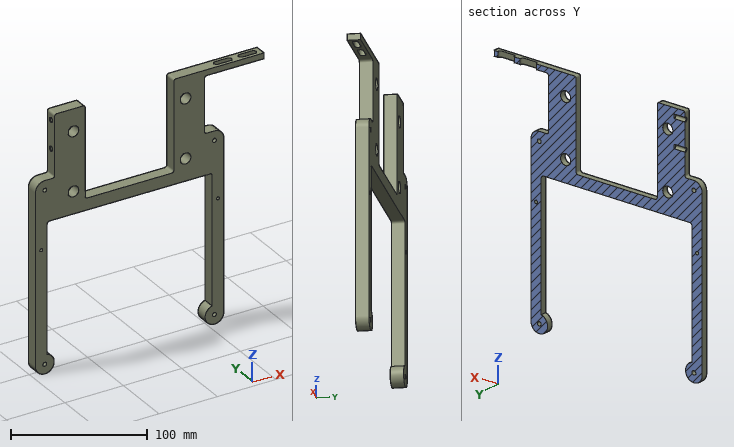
import cadquery as cq

height = 214.0
thickness = 10.0
frame_width = 161.0
total_length = 195.5
corner_radius = 2.0
shoulder_fillet_radius = 1.5

leg_width = 10.0
pad_diameter = 16.0
pad_radius = pad_diameter / 2
crossbar_top = height - 77.6
crossbar_bottom = crossbar_top - 10.0
shoulder_top = height - 52.8

tower_width = 26.3
left_tower_x = 16.3
right_tower_x = 118.3
arm_thickness = 5.0

tower_hole_diameter = 9.0
tower_hole_xs = (32.5, 128.3)
tower_hole_top = height - 18.8
tower_hole_pitch = 50.0
pivot_hole_diameter = 3.2
leg_hole_diameter = 2.4
leg_hole_inset = leg_width / 2
leg_hole_z = height - 110.0

side_hole_diameter = 3.2
side_hole_chamfer = 0.5
side_hole_depth = 10.0
side_hole_zs = (height - 7.0, height - 31.0)

slot_length = 15.0
slot_width = 4.5
slot_centers = (163.2, 184.2)


def block(x_min, x_max, z_min, z_max):
    """Full-thickness block, centered on Y = 0."""
    return cq.Workplane("XY", origin=(x_min, 0, z_min)).box(
        x_max - x_min, thickness, z_max - z_min, centered=(False, True, False)
    )


def cylinders_along_y(points, diameter):
    """Cylinders spanning the plate thickness at the given X, Z points."""
    return (
        cq.Workplane("XZ", origin=(0, thickness / 2, 0))
        .pushPoints(points)
        .circle(diameter / 2)
        .extrude(thickness)
    )


def round_corners(body, points, radius):
    """Round the edges along Y that pass through the given X, Z points."""
    for x, z in points:
        edge = cq.selectors.NearestToPointSelector((x, 0, z))
        body = body.edges("|Y").edges(edge).fillet(radius)
    return body


leg_inner_xs = (leg_width, frame_width - leg_width)
notch_xs = (left_tower_x + tower_width, right_tower_x)
right_tower_end = right_tower_x + tower_width
body = block(0, frame_width, pad_radius, shoulder_top)
body = body.cut(block(*leg_inner_xs, 0, crossbar_bottom))

body = body.union(block(left_tower_x, notch_xs[0], crossbar_bottom, height))
body = body.union(block(right_tower_x, right_tower_end, crossbar_bottom, height))
body = body.union(block(right_tower_x, total_length, height - arm_thickness, height))
body = body.cut(block(*notch_xs, crossbar_top, height))

shoulder_corners = [(0, shoulder_top), (frame_width, shoulder_top)]
tower_base_corners = [(left_tower_x, shoulder_top), (right_tower_end, shoulder_top)]
small_corners = [
    (left_tower_x, height),
    (notch_xs[0], height),
    (right_tower_x, height),
    (right_tower_end, height - arm_thickness),
]
for x in notch_xs:
    small_corners.append((x, crossbar_top))
for x in leg_inner_xs:
    small_corners.append((x, crossbar_bottom))
body = round_corners(body, shoulder_corners, pad_radius)
body = round_corners(body, small_corners, corner_radius)
body = round_corners(body, tower_base_corners, shoulder_fillet_radius)

pivot_xs = (pad_radius, frame_width - pad_radius)
foot_centers = [(x, pad_radius) for x in pivot_xs]
body = body.union(cylinders_along_y(foot_centers, pad_diameter))

shoulder_centers = [(x, shoulder_top - pad_radius) for x in pivot_xs]
tower_hole_zs = (tower_hole_top, tower_hole_top - tower_hole_pitch)
tower_holes = [(x, z) for x in tower_hole_xs for z in tower_hole_zs]
leg_holes = [(x, leg_hole_z) for x in (leg_hole_inset, frame_width - leg_hole_inset)]
body = body.cut(cylinders_along_y(foot_centers + shoulder_centers, pivot_hole_diameter))
body = body.cut(cylinders_along_y(tower_holes, tower_hole_diameter))
body = body.cut(cylinders_along_y(leg_holes, leg_hole_diameter))

for z in side_hole_zs:
    mouth = cq.Workplane("YZ", origin=(left_tower_x, 0, z))
    bore = mouth.circle(side_hole_diameter / 2).extrude(side_hole_depth)
    chamfer = (
        mouth.circle(side_hole_diameter / 2 + side_hole_chamfer)
        .workplane(offset=side_hole_chamfer)
        .circle(side_hole_diameter / 2)
        .loft(ruled=True)
    )
    body = body.cut(bore).cut(chamfer)

slots = (
    cq.Workplane("XY", origin=(0, 0, height - arm_thickness))
    .pushPoints([(x, 0) for x in slot_centers])
    .slot2D(slot_length, slot_width)
    .extrude(arm_thickness)
)
result = body.cut(slots)